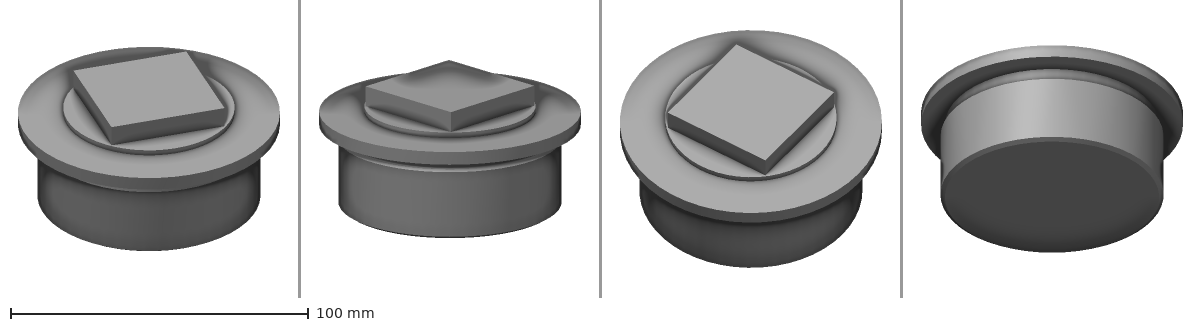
import cadquery as cq

total_height = 42.0
square_height = 7.0
seat_height = 1.9
flange_height = 4.5
neck_height = 4.05
body_height = total_height - square_height - seat_height - flange_height - neck_height

flange_diameter = 88.0
body_diameter = 75.0
neck_diameter = 71.9
seat_diameter = 57.55
square_side = 40.0

top_bevel_width = 1.0
top_bevel_height = 0.7
bottom_bevel_width = 1.5
bottom_bevel_height = 1.0
neck_fillet = 0.5


def body_and_neck():
    """Revolve the bevelled body together with the filleted neck above it."""
    body_radius = body_diameter / 2
    neck_radius = neck_diameter / 2
    neck_top = body_height + neck_height
    return (
        cq.Workplane("XZ")
        .lineTo(body_radius - bottom_bevel_width, 0)
        .lineTo(body_radius, bottom_bevel_height)
        .lineTo(body_radius, body_height - top_bevel_height)
        .lineTo(body_radius - top_bevel_width, body_height)
        .lineTo(neck_radius + neck_fillet, body_height)
        .radiusArc((neck_radius, body_height + neck_fillet), neck_fillet)
        .lineTo(neck_radius, neck_top)
        .lineTo(0, neck_top)
        .close()
        .revolve(360, (0, 0, 0), (0, 1, 0))
    )


def add_disc(part, diameter, height):
    """Stack a round disc on top of the part."""
    return part.faces(">Z").workplane(origin=(0, 0, 0)).circle(diameter / 2).extrude(height)


plug = body_and_neck()
plug = add_disc(plug, flange_diameter, flange_height)
plug = add_disc(plug, seat_diameter, seat_height)

result = (
    plug.faces(">Z")
    .workplane(origin=(0, 0, 0))
    .rect(square_side, square_side)
    .extrude(square_height)
)